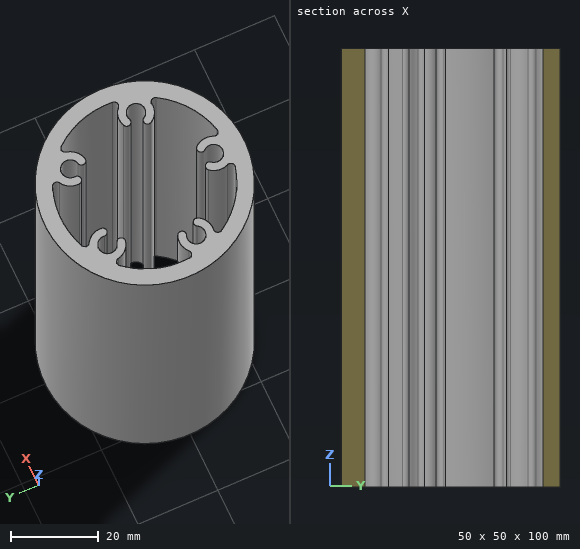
import cadquery as cq
import math

length = 100
outer_radius = 25
inner_radius = 21

port_count = 5
first_port_angle = -90
port_centre_radius = 17.3
bore_radius = 2.2
lip_outer_radius = 4.2
mouth_width = 2.8
root_fillet = 1

tip_radius = (lip_outer_radius - bore_radius) / 2
lip_mid_radius = bore_radius + tip_radius
tip_side_offset = mouth_width / 2 + tip_radius
tip_angle = math.asin(tip_side_offset / lip_mid_radius)


def port_point(radius, angle):
    """Point around a port centre; angle zero faces the tube axis."""
    return (port_centre_radius - radius * math.cos(angle), radius * math.sin(angle))


def place_port(shape, index):
    angle = first_port_angle + index * 360 / port_count
    return shape.rotate((0, 0, 0), (0, 0, 1), angle)


def make_port_body():
    """Solid lobe that carries one port, reaching into the tube wall."""
    return cq.Workplane("XY").center(port_centre_radius, 0).circle(lip_outer_radius).extrude(length)


def make_port_opening():
    """Bore with a mouth that widens toward the axis and stops at the lip tips."""
    bore = cq.Workplane("XY").center(port_centre_radius, 0).circle(bore_radius).extrude(length)
    mouth_reach = 2 * lip_outer_radius
    mouth = (
        cq.Workplane("XY")
        .moveTo(port_centre_radius, 0)
        .lineTo(*port_point(mouth_reach, tip_angle))
        .lineTo(*port_point(mouth_reach, -tip_angle))
        .close()
        .extrude(length)
    )
    return bore.union(mouth)


def make_lip_tips():
    tip_centres = [port_point(lip_mid_radius, side * tip_angle) for side in (-1, 1)]
    return cq.Workplane("XY").pushPoints(tip_centres).circle(tip_radius).extrude(length)


def is_root_corner(edge):
    """True where a lobe meets the wall, false for the seam of a full cylinder."""
    distance = math.hypot(edge.Center().x, edge.Center().y)
    return port_centre_radius < distance < (inner_radius + outer_radius) / 2


result = cq.Workplane("XY").circle(outer_radius).circle(inner_radius).extrude(length)
for index in range(port_count):
    result = result.union(place_port(make_port_body(), index))

root_corners = [edge for edge in result.edges("|Z").vals() if is_root_corner(edge)]
result = result.newObject(root_corners).fillet(root_fillet)

for index in range(port_count):
    result = result.cut(place_port(make_port_opening(), index))
    result = result.union(place_port(make_lip_tips(), index))